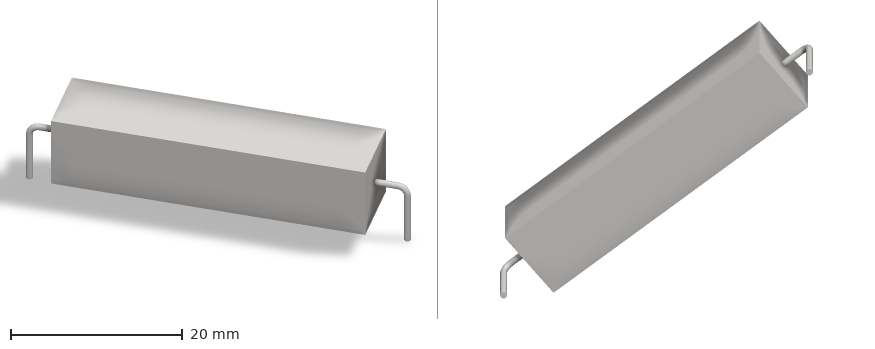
import cadquery as cq

body_length = 38.0
body_side = 9.0

overall_length = 46.5
overall_height = 12.0
lead_diameter = 0.8
bend_radius = 1.2

lead_x = (overall_length - lead_diameter) / 2
lead_exit_z = body_side / 2
lead_tip_z = body_side - overall_height
embed_depth = 0.45


def make_lead():
    """Lead on the +X end: straight out of the body, then bent down."""
    start_x = body_length / 2 - embed_depth
    path = (
        cq.Workplane("XZ")
        .moveTo(start_x, lead_exit_z)
        .lineTo(lead_x - bend_radius, lead_exit_z)
        .tangentArcPoint((lead_x, lead_exit_z - bend_radius), relative=False)
        .lineTo(lead_x, lead_tip_z)
    )
    section = cq.Workplane("YZ", origin=(start_x, 0, lead_exit_z)).circle(lead_diameter / 2)
    return section.sweep(path)


body = cq.Workplane("XY").box(body_length, body_side, body_side, centered=(True, True, False))
lead = make_lead()
result = body.union(lead).union(lead.mirror("YZ"))